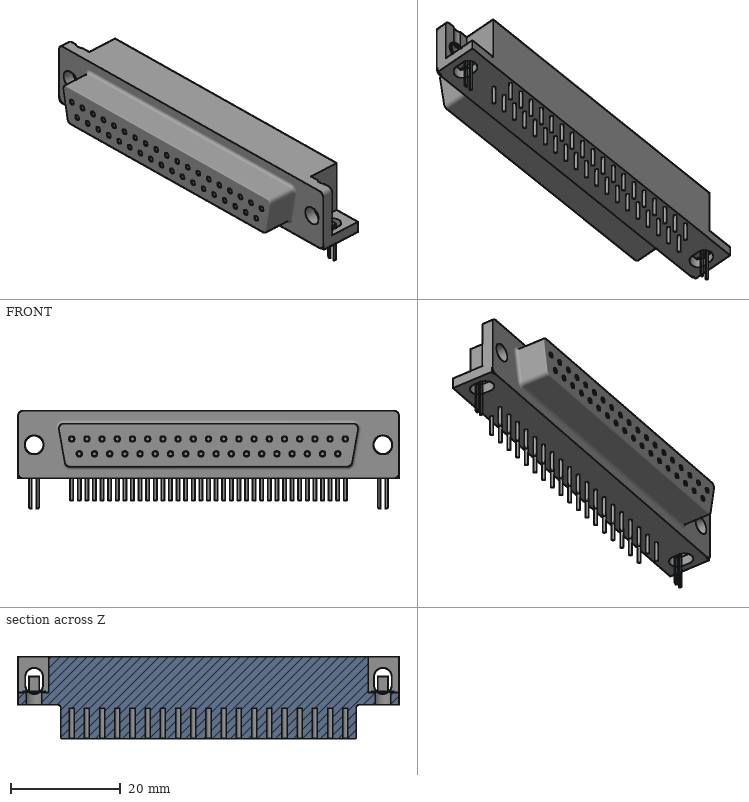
import cadquery as cq
import math


length = 69.4
height = 12.35
total_depth = 15.0
flange_front = 8.8
flange_rear = 6.5
face_plate = 0.2
corner_radius = 1.0
block_length = 58.2
foot_height = 2.2

hole_spacing = 63.5
hole_diameter = 3.5
hole_z = 6.1
slot_width = 3.2
slot_near = 2.1
slot_far = 6.8

clip_thickness = 0.24
clip_ring_diameter = 4.0
clip_bore = 3.3
clip_width = 1.95
clip_leg_gap = 0.8
clip_reach = 3.6
clip_leg_drop = 5.55
clip_tip_radius = 0.5

shell_top = 10.0
shell_bottom = 2.15
shell_half_width = 27.4
shell_side_angle = 10.0
shell_corner_radius = 0.9
shell_edge_radius = 0.2
shell_root_radius = 0.6

top_row_count = 19
contact_span = 49.8
contact_pitch = contact_span / (top_row_count - 1)
socket_row_spacing = 2.7
rows_z = 5.8
socket_diameter = 0.8
socket_lead_in = 0.105
lead_in_angle = 45
socket_depth = 5.55
tail_diameter = 0.64
tail_drop = 4.0
tail_tip_radius = 0.15
rear_tail_depth = 0.8
tail_row_spacing = 2.85


def box_at(x_size, depth_start, depth_end, z_low, z_high, x_mid=0):
    """Box centred on x_mid between two depths and two heights."""
    return (
        cq.Workplane("XY")
        .box(x_size, depth_end - depth_start, z_high - z_low, centered=(True, False, False))
        .translate((x_mid, -depth_end, z_low))
    )


def front_plane(depth):
    """Plane at the given depth, facing the mating side."""
    return cq.Workplane("XZ").workplane(offset=depth)


def row_positions(count):
    """X positions of a centred row at contact pitch."""
    return [(i - (count - 1) / 2) * contact_pitch for i in range(count)]


def make_housing():
    flange = box_at(length, flange_rear, flange_front - face_plate, 0, height)
    flange = flange.edges("|Y and >Z").fillet(corner_radius)
    plate = box_at(length, flange_front - face_plate, flange_front, 0, height)
    plate = plate.edges("|Y").fillet(corner_radius)
    feet = box_at(length, 0, flange_rear, 0, foot_height)
    block = box_at(block_length, 0, flange_rear, 0, height)
    return flange.union(plate).union(feet).union(block)


def make_shell():
    lean = (shell_top - shell_bottom) * math.tan(math.radians(shell_side_angle))
    bottom_half_width = shell_half_width - lean
    return (
        front_plane(flange_front - face_plate)
        .polyline([
            (-shell_half_width, shell_top),
            (shell_half_width, shell_top),
            (bottom_half_width, shell_bottom),
            (-bottom_half_width, shell_bottom),
        ])
        .close()
        .extrude(total_depth - flange_front + face_plate)
        .edges("|Y").fillet(shell_corner_radius)
        .faces("<Y").edges().fillet(shell_edge_radius)
    )


def blend_shell_root(body):
    """Round the inside corner where the shell leaves the flange."""
    margin = 0.01
    root_edges = cq.selectors.BoxSelector(
        (-shell_half_width - margin, -flange_front - margin, shell_bottom - margin),
        (shell_half_width + margin, -flange_front + margin, shell_top + margin),
        boundingbox=True,
    )
    return body.edges(root_edges).fillet(shell_root_radius)


def make_sockets():
    rows = (
        (top_row_count, rows_z + socket_row_spacing / 2),
        (top_row_count - 1, rows_z - socket_row_spacing / 2),
    )
    centres = [(x, z) for count, z in rows for x in row_positions(count)]
    bores = (
        front_plane(total_depth - socket_depth)
        .pushPoints(centres)
        .circle(socket_diameter / 2)
        .extrude(socket_depth)
    )
    mouths = (
        front_plane(total_depth)
        .pushPoints(centres)
        .circle(socket_diameter / 2 + socket_lead_in)
        .extrude(-socket_lead_in, taper=lead_in_angle)
    )
    return bores.union(mouths)


def make_tails():
    rows = (
        (top_row_count, rear_tail_depth + tail_row_spacing),
        (top_row_count - 1, rear_tail_depth),
    )
    centres = [(x, -depth) for count, depth in rows for x in row_positions(count)]
    return (
        cq.Workplane("XY")
        .pushPoints(centres)
        .circle(tail_diameter / 2)
        .extrude(-tail_drop)
        .faces("<Z").edges().fillet(tail_tip_radius)
    )


def make_foot_slot(x):
    """Slot through the foot, long side along Y; its far end also notches the flange back."""
    slot_middle = (slot_near + slot_far) / 2
    return (
        cq.Workplane("XY")
        .center(x, -slot_middle)
        .slot2D(slot_far - slot_near, slot_width, angle=90)
        .extrude(height)
    )


def make_mounting_hole(x):
    return front_plane(0).center(x, hole_z).circle(hole_diameter / 2).extrude(flange_front)


def make_clip(x):
    """Ring behind the flange, strap down to the foot, tab, and two legs through the slot."""
    strap_rear = flange_rear - clip_thickness
    ring = front_plane(strap_rear).center(x, hole_z).circle(clip_ring_diameter / 2).extrude(clip_thickness)
    strap = box_at(clip_width, strap_rear, flange_rear, foot_height, hole_z, x)
    tab_top = foot_height + clip_thickness
    tab = box_at(clip_width, clip_reach, flange_rear, foot_height, tab_top, x)
    clip = ring.union(strap).union(tab)
    leg_width = (clip_width - clip_leg_gap) / 2
    leg_offset = (clip_width - leg_width) / 2
    for side in (-1, 1):
        leg = box_at(
            leg_width, clip_reach, clip_reach + clip_thickness, -clip_leg_drop, tab_top, x + side * leg_offset
        )
        outer_tip = leg.faces("<Z").edges(">X" if side > 0 else "<X")
        clip = clip.union(outer_tip.fillet(clip_tip_radius))
    return clip.cut(front_plane(0).center(x, hole_z).circle(clip_bore / 2).extrude(flange_front))


result = blend_shell_root(make_housing().union(make_shell()))
result = result.cut(make_sockets()).union(make_tails())
for hole_x in (-hole_spacing / 2, hole_spacing / 2):
    result = result.cut(make_mounting_hole(hole_x)).cut(make_foot_slot(hole_x))
    result = result.union(make_clip(hole_x))